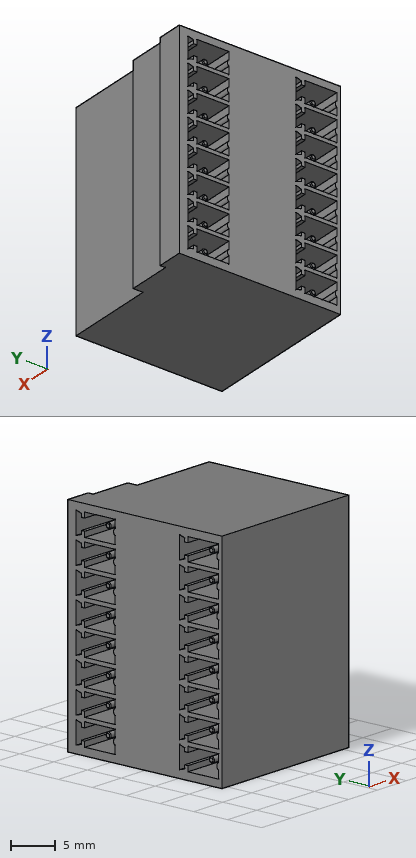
import cadquery as cq

depth = 21.9
width = 22.8
height = 29.5
front_step_x = 3.55
front_step_drop = 0.75
rear_step_x = 9.5
rear_step_drop = 2.15

rows = 8
row_pitch = 3.5
column_pitch = 15.25
first_row_z = 2.52
column_margin = 1.25
first_column_y = width - column_margin
column_ends = [first_column_y, first_column_y - column_pitch]

socket_depth = 7.5
socket_length = 5.765
socket_half_height = 1.485
key_start = 0.77
key_end = 1.27
key_half_gap = 0.77
flare_half_height = 1.23
flare_mid = 0.4
flare_mid_half_height = 1.37
bump_half_height = 0.42
bump_rise = 0.22

pin_offset = 3.52
pin_diameter = 0.75
pin_tip_diameter = 0.5
pin_length = 6.1
pin_taper_length = 0.12


def make_housing():
    """Block with a stepped +Y side, extruded over the full height."""
    outline = [
        (0, 0),
        (depth, 0),
        (depth, width - rear_step_drop),
        (rear_step_x, width - rear_step_drop),
        (rear_step_x, width - front_step_drop),
        (front_step_x, width - front_step_drop),
        (front_step_x, width),
        (0, width),
    ]
    return cq.Workplane("XY").polyline(outline).close().extrude(height)


def make_socket():
    """Keyed socket with its +Y end at Y = 0 and its centre at Z = 0."""
    return (
        cq.Workplane("YZ")
        .moveTo(0, -socket_half_height)
        .lineTo(0, socket_half_height)
        .threePointArc((-flare_mid, flare_mid_half_height), (-key_start, flare_half_height))
        .lineTo(-key_start, key_half_gap)
        .lineTo(-key_end, key_half_gap)
        .lineTo(-key_end, socket_half_height)
        .lineTo(-socket_length, socket_half_height)
        .lineTo(-socket_length, bump_half_height)
        .threePointArc((-socket_length + bump_rise, 0), (-socket_length, -bump_half_height))
        .lineTo(-socket_length, -socket_half_height)
        .lineTo(-key_end, -socket_half_height)
        .lineTo(-key_end, -key_half_gap)
        .lineTo(-key_start, -key_half_gap)
        .lineTo(-key_start, -flare_half_height)
        .threePointArc((-flare_mid, -flare_mid_half_height), (0, -socket_half_height))
        .close()
        .extrude(socket_depth)
    )


def make_pin():
    """Round pin pointing toward -X, placed to suit make_socket()."""
    tip_x = socket_depth - pin_length
    profile = [
        (tip_x, 0),
        (tip_x, pin_tip_diameter / 2),
        (tip_x + pin_taper_length, pin_diameter / 2),
        (socket_depth, pin_diameter / 2),
        (socket_depth, 0),
    ]
    pin = cq.Workplane("XY").polyline(profile).close().revolve(360, (0, 0, 0), (1, 0, 0))
    return pin.translate((0, -pin_offset, 0))


socket_cut = make_socket().cut(make_pin())

result = make_housing()
for column_y in column_ends:
    for row in range(rows):
        row_z = first_row_z + row * row_pitch
        result = result.cut(socket_cut.translate((0, column_y, row_z)))